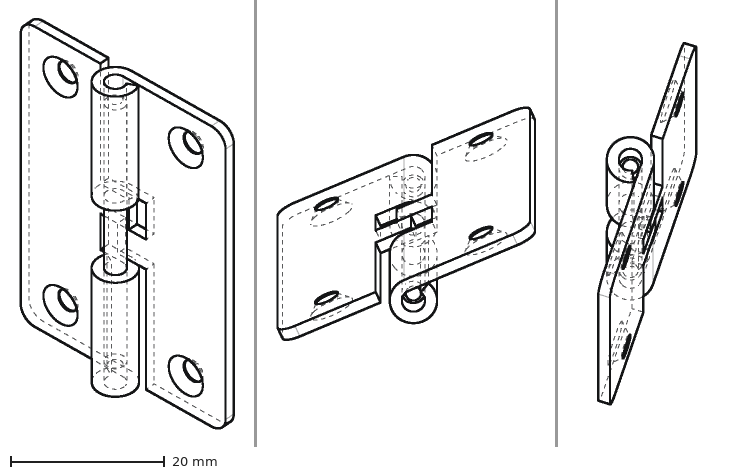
import cadquery as cq
import math

height = 50.0
width = 36.0
thickness = 1.6
knuckle_radius = 3.1
bore_radius = knuckle_radius - thickness
pin_radius = bore_radius
half_width = width / 2
half_height = height / 2

corner_radius = 2.5
edge_x = 4.0
tab_reach = 1.0
tab_height = 5.0
knuckle_start_z = 6.0
curl_end_angle = math.radians(27)
curl_mid_angle = math.radians(225)

hole_x = 11.0
hole_z = 19.0
hole_diameter = 3.25
countersink_diameter = 6.0
countersink_angle = 90.0

pin_recess = 3.0
pin_chamfer = 0.5
pin_length = height - 2 * pin_recess


def sheet(x_start, x_end, z_start, z_end):
    """Flat rectangle of leaf sheet, with its back face tangent to the knuckle."""
    return cq.Workplane("XY").box(
        x_end - x_start, thickness, z_end - z_start, centered=False
    ).translate((x_start, bore_radius, z_start))


def polar(radius, angle):
    return (radius * math.cos(angle), radius * math.sin(angle))


def rolled_knuckle():
    """Open curl that continues the back of the leaf around the pin."""
    return (
        cq.Workplane("XY")
        .workplane(offset=knuckle_start_z)
        .moveTo(edge_x, knuckle_radius)
        .lineTo(0, knuckle_radius)
        .threePointArc(polar(knuckle_radius, curl_mid_angle), polar(knuckle_radius, curl_end_angle))
        .lineTo(*polar(bore_radius, curl_end_angle))
        .threePointArc(polar(bore_radius, curl_mid_angle), (0, bore_radius))
        .lineTo(edge_x, bore_radius)
        .close()
        .extrude(half_height - knuckle_start_z)
    )


def make_leaf():
    """Right leaf: plate, rolled upper knuckle and a tab behind the pin."""
    plate = sheet(edge_x, half_width, -half_height, half_height)
    plate = plate.edges("|Y and >X").fillet(corner_radius)
    tab = sheet(-tab_reach, edge_x, -tab_height, 0)
    leaf = plate.union(tab).union(rolled_knuckle())
    return (
        leaf.copyWorkplane(cq.Workplane("XZ", origin=(0, bore_radius, 0)))
        .pushPoints([(hole_x, -hole_z), (hole_x, hole_z)])
        .cskHole(hole_diameter, countersink_diameter, countersink_angle)
    )


def make_pin():
    """Round pin with chamfered ends, recessed in both knuckles."""
    end_z = pin_length / 2
    shoulder_z = end_z - pin_chamfer
    end_radius = pin_radius - pin_chamfer
    half_profile = [
        (0, -end_z),
        (end_radius, -end_z),
        (pin_radius, -shoulder_z),
        (pin_radius, shoulder_z),
        (end_radius, end_z),
        (0, end_z),
    ]
    return cq.Workplane("XZ").polyline(half_profile).close().revolve(360, (0, 0), (0, 1))


leaves = [make_leaf().rotate((0, 0, 0), (0, 1, 0), turn) for turn in (0, 180)]
pin = make_pin()

result = cq.Compound.makeCompound([*(leaf.val() for leaf in leaves), pin.val()])